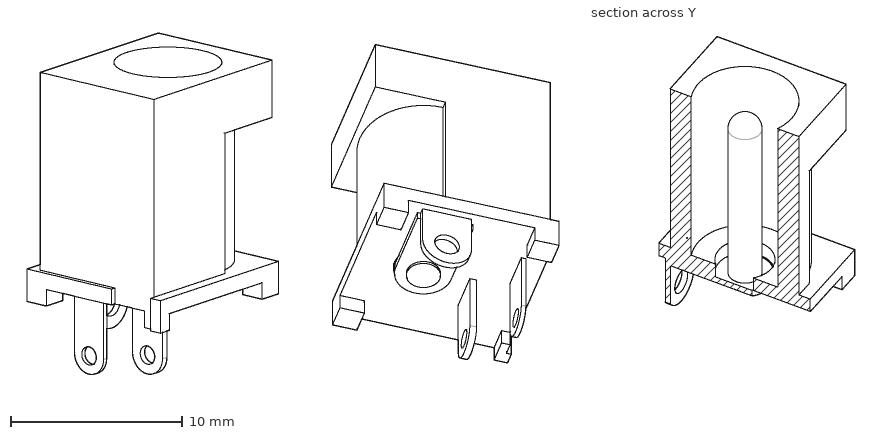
import cadquery as cq


height_above_plate_underside = 13.0
body_width = 8.7
body_back = 4.28
body_front = -6.4
head_height = 3.5
barrel_radius = 3.89

flange_width = 10.2
flange_back = 3.98
flange_front = -6.71
plate_thickness = 0.97
notch_start = 1.37
foot_size = 1.5
notched_foot_depth = 0.83
foot_height = 1.0

bore_diameter = 6.3
bore_floor = plate_thickness
recess_diameter = 3.51
pin_diameter = 2.0
pin_tip_depth = 1.1
rivet_drop = 0.61

side_tab_width = 2.99
side_tab_length = 3.98
side_tab_thickness = 0.4
side_tab_hole = 1.5
side_tab_outer_x = -4.68
strip_width = 3.38
strip_thickness = 0.45

front_tab_length = 5.0
front_tab_hole = 1.1
near_tab_x = -1.39
near_tab_width = 2.23
near_tab_front = -5.49
near_tab_thickness = 0.29
far_tab_x = 1.19
far_tab_width = 2.3
far_tab_front = -3.25
far_tab_thickness = 0.41


def box(x_min, x_max, y_min, y_max, z_min, z_max):
    """Axis-aligned block between the given limits."""
    size = (x_max - x_min, y_max - y_min, z_max - z_min)
    return cq.Workplane("XY").box(*size, centered=False).translate((x_min, y_min, z_min))


def post(diameter, z_min, z_max):
    """Upright cylinder on the socket axis."""
    return cq.Workplane("XY").workplane(offset=z_min).circle(diameter / 2).extrude(z_max - z_min)


def terminal(width, length, thickness, hole):
    """Round-ended lug hanging below z = 0, with its thickness running from y = 0 to +Y."""
    radius = width / 2
    eye_z = radius - length
    return (
        cq.Workplane("XZ")
        .moveTo(-radius, 0)
        .lineTo(-radius, eye_z)
        .threePointArc((0, -length), (radius, eye_z))
        .lineTo(radius, 0)
        .close()
        .moveTo(0, eye_z)
        .circle(hole / 2)
        .extrude(-thickness)
    )


def housing():
    """Square head over a body whose back half narrows to a round barrel."""
    half = body_width / 2
    top = height_above_plate_underside
    head = box(-half, half, body_front, body_back, top - head_height, top)
    front_block = box(-half, half, body_front, 0, 0, top)
    barrel = post(2 * barrel_radius, 0, top)
    return head.union(front_block).union(barrel)


def base():
    """Plate with corner feet, notched to bare the body front; the foot by the notch is shallower."""
    half = flange_width / 2
    plate = box(-half, half, flange_front, flange_back, 0, plate_thickness)
    for x in (-half, half - foot_size):
        front_depth = foot_size if x < 0 else notched_foot_depth
        front_foot = box(x, x + foot_size, flange_front, flange_front + front_depth, -foot_height, 0)
        back_foot = box(x, x + foot_size, flange_back - foot_size, flange_back, -foot_height, 0)
        plate = plate.union(front_foot).union(back_foot)
    notch = box(notch_start, body_width / 2, flange_front, body_front, -foot_height, plate_thickness)
    return plate.cut(notch)


def socket():
    """Bore with a smaller recess in its floor, reaching the contact strip."""
    bore = post(bore_diameter, bore_floor, height_above_plate_underside)
    return bore.union(post(recess_diameter, 0, bore_floor))


def center_pin():
    """Dome-ended pin, riveted through the contact strip."""
    tip = height_above_plate_underside - pin_tip_depth
    radius = pin_diameter / 2
    dome = cq.Workplane("XY").sphere(radius).translate((0, 0, tip - radius))
    return post(pin_diameter, -rivet_drop, tip - radius).union(dome)


def side_contact():
    """Strip with a round end about the pin, meeting the inner face of the lug."""
    half = strip_width / 2
    strip = box(side_tab_outer_x + side_tab_thickness, 0, -half, half, -strip_thickness, 0)
    strip = strip.union(post(strip_width, -strip_thickness, 0))
    lug = terminal(side_tab_width, side_tab_length, side_tab_thickness, side_tab_hole)
    lug = lug.rotate((0, 0, 0), (0, 0, 1), -90).translate((side_tab_outer_x, 0, 0))
    return strip.union(lug)


near_tab = terminal(near_tab_width, front_tab_length, near_tab_thickness, front_tab_hole)
far_tab = terminal(far_tab_width, front_tab_length, far_tab_thickness, front_tab_hole)

result = (
    housing()
    .union(base())
    .cut(socket())
    .union(side_contact())
    .union(center_pin())
    .union(near_tab.translate((near_tab_x, near_tab_front, 0)))
    .union(far_tab.translate((far_tab_x, far_tab_front, 0)))
)